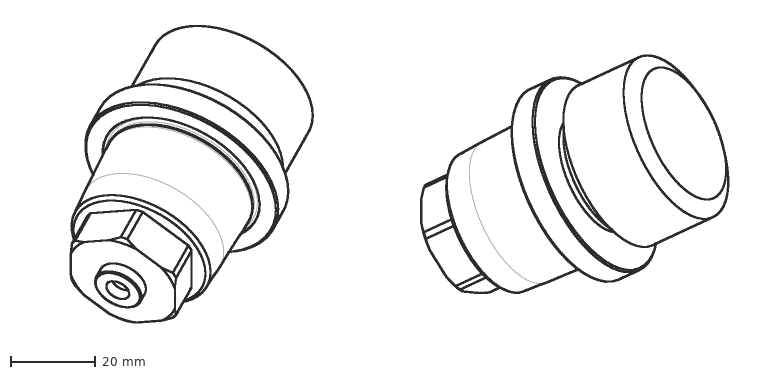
import cadquery as cq
import math

nose_radius = 6.0
nose_length = 3.0
nose_chamfer = 0.3
nose_hole_radius = 3.0
nose_hole_depth = 3.0

hex_across_flats = 27.0
hex_length = 10.0
hex_corner_radius = 15.1
hex_face_radius = 14.0
hex_chamfer_length = 0.8

sleeve_chamfer = 0.9
sleeve_front_radius = 18.0
sleeve_line_radius = 18.45
sleeve_radius = 19.1
sleeve_line_station = 20.85
sleeve_taper_station = 36.0
ring_groove_station = 36.7
ring_groove_width = 0.2
ring_groove_depth = 0.1

flange_radius = 25.0
flange_chamfer = 0.4
flange_front = 37.9
flange_back = 44.8
recess_radius = 20.35
recess_depth = 0.4
recess_fillet = 0.6

neck_radius = 15.0
shoulder_station = 46.85
shoulder_radius = 16.05
head_front = 50.5
head_radius = 21.0
head_chamfer_length = 2.3
head_chamfer_width = head_chamfer_length * math.tan(math.radians(60))
total_length = 70.65

hex_front = nose_length
sleeve_front = hex_front + hex_length
recess_floor = flange_front + recess_depth


def revolve(profile):
    """Turn a closed radius/Y profile fully about the Y axis."""
    return profile.close().revolve(360, (0, 0, 0), (0, 1, 0))


def make_body():
    """Tapered sleeve, flange, neck, shoulder and head."""
    groove_radius = sleeve_radius - ring_groove_depth
    groove_end = ring_groove_station + ring_groove_width
    profile = (
        cq.Workplane("XY")
        .moveTo(0, sleeve_front)
        .lineTo(sleeve_front_radius - sleeve_chamfer, sleeve_front)
        .lineTo(sleeve_front_radius, sleeve_front + sleeve_chamfer)
        .lineTo(sleeve_line_radius, sleeve_line_station)
        .lineTo(sleeve_radius, sleeve_taper_station)
        .lineTo(sleeve_radius, ring_groove_station)
        .lineTo(groove_radius, ring_groove_station)
        .lineTo(groove_radius, groove_end)
        .lineTo(sleeve_radius, groove_end)
        .lineTo(sleeve_radius, recess_floor - recess_fillet)
        .radiusArc((sleeve_radius + recess_fillet, recess_floor), recess_fillet)
        .lineTo(recess_radius, recess_floor)
        .lineTo(recess_radius, flange_front)
        .lineTo(flange_radius - flange_chamfer, flange_front)
        .lineTo(flange_radius, flange_front + flange_chamfer)
        .lineTo(flange_radius, flange_back - flange_chamfer)
        .lineTo(flange_radius - flange_chamfer, flange_back)
        .lineTo(neck_radius, flange_back)
        .lineTo(neck_radius, shoulder_station)
        .lineTo(shoulder_radius, shoulder_station)
        .lineTo(shoulder_radius, head_front)
        .lineTo(head_radius, head_front)
        .lineTo(head_radius, total_length - head_chamfer_length)
        .lineTo(head_radius - head_chamfer_width, total_length)
        .lineTo(0, total_length)
    )
    return revolve(profile)


def make_hex():
    """Hexagon with corners up and down, trimmed by a chamfered cylinder."""
    across_corners = hex_across_flats / math.cos(math.pi / 6)
    prism = (
        cq.Workplane("XZ", origin=(0, sleeve_front, 0))
        .transformed(rotate=(0, 0, 90))
        .polygon(6, across_corners)
        .extrude(hex_length)
    )
    envelope = revolve(
        cq.Workplane("XY")
        .moveTo(0, hex_front)
        .lineTo(hex_face_radius, hex_front)
        .lineTo(hex_corner_radius, hex_front + hex_chamfer_length)
        .lineTo(hex_corner_radius, sleeve_front)
        .lineTo(0, sleeve_front)
    )
    return prism.intersect(envelope)


def make_nose():
    """Short round nose with a chamfered front edge."""
    return (
        cq.Workplane("XZ", origin=(0, nose_length, 0))
        .circle(nose_radius)
        .extrude(nose_length)
        .faces("<Y")
        .chamfer(nose_chamfer)
    )


def make_nose_hole():
    """Blind hole on the axis, opening at the nose tip."""
    return cq.Workplane("XZ").circle(nose_hole_radius).extrude(-nose_hole_depth)


result = make_body().union(make_hex()).union(make_nose()).cut(make_nose_hole())